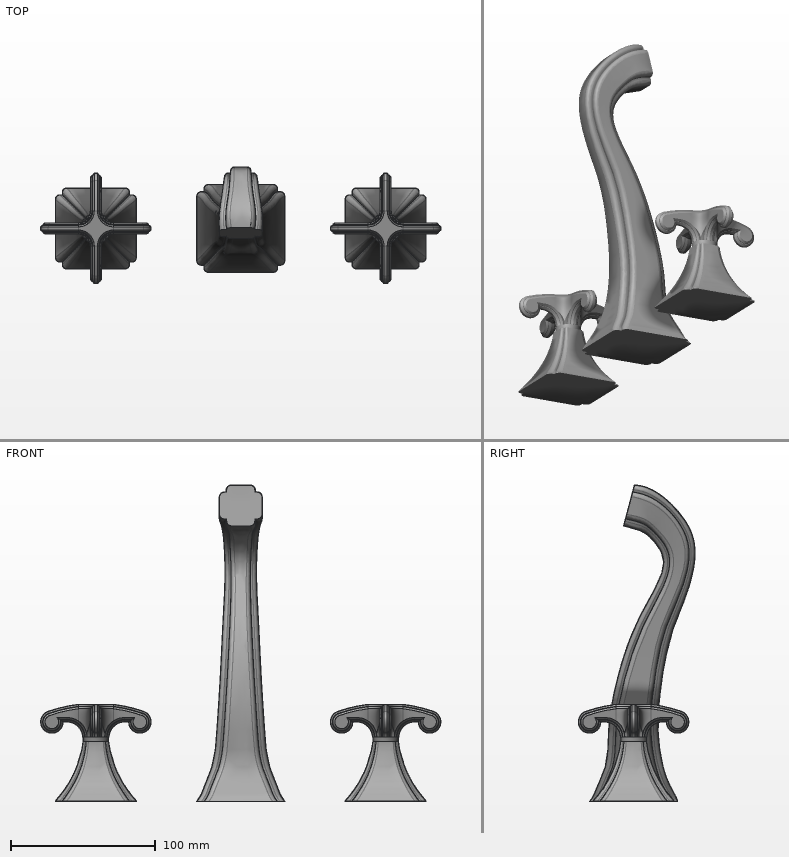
import cadquery as cq
import math

HANDLE_SPACING = 100.0

SPOUT_STATIONS = [
    ((30.5, 0.0), (-30.5, 0.0), 30.5, 5.0),
    ((26.5, 8.3), (-26.0, 8.3), 26.0, 5.0),
    ((22.6, 16.5), (-22.5, 16.5), 22.6, 5.0),
    ((18.5, 33.1), (-18.0, 33.1), 18.0, 5.0),
    ((16.8, 55.2), (-16.5, 57.0), 16.0, 5.0),
    ((19.3, 82.9), (-10.0, 89.5), 14.0, 5.0),
    ((26.2, 116.0), (2.8, 124.5), 12.5, 5.0),
    ((36.7, 143.5), (17.5, 152.5), 11.0, 4.5),
    ((42.3, 166.8), (20.7, 166.3), 11.0, 4.1),
    ((37.8, 190.0), (16.0, 177.3), 12.0, 4.5),
    ((21.8, 209.0), (8.0, 185.3), 13.8, 4.7),
    ((0.5, 218.5), (-7.0, 190.3), 14.5, 5.0),
]
ROUND_TO_NOTCH = 0.65

BASE_HALF_WIDTH = 28.0
BASE_LIP = 0.5
BASE_NOTCH = 4.7
FLARE_MIDDLE = (16.5, 16.5)
FOOT_HEIGHT = 10.5
FOOT_NOTCH = 4.0
NECK_HEIGHT = 41.5
NECK_HALF_WIDTH = 8.8
NECK_NOTCH = 2.2
FLARE_STEPS = 8

COLLAR_RADIUS = 8.8
COLLAR_TOP = 44.5
CROSS_TOP = 67.0
ARM_THICKNESS = 7.7
RIM_THICKNESS = 4.5
RIM_STEP = 1.7
BEVEL_DEPTH = 1.0
BEVEL_WIDTH = 1.5
HUB_REACH = 12.2
SCROLL_RADIUS = 7.7
SCROLL_X = 30.5
CROWN_RADIUS = 99.7
CROWN_Z = CROSS_TOP - math.sqrt(CROWN_RADIUS ** 2 - HUB_REACH ** 2)
SCROLL_Z = CROWN_Z + math.sqrt((CROWN_RADIUS - SCROLL_RADIUS) ** 2 - SCROLL_X ** 2)
ARCH_RADIUS = 10.8
ARCH_X = 20.0
ARCH_Z = SCROLL_Z - ARCH_RADIUS


def notched_section(plane, half_width, half_depth, notch):
    """Wire of a rectangle with a square notch in each corner and rounded outer corners."""
    radius = notch * ROUND_TO_NOTCH
    diagonal = radius * (1 - math.sqrt(0.5))
    inner_x = half_width - notch
    inner_y = half_depth - notch
    corner = [
        (half_width, inner_y - radius),
        (half_width - diagonal, inner_y - diagonal),
        (half_width - radius, inner_y),
        (inner_x, inner_y),
        (inner_x, half_depth - radius),
        (inner_x - diagonal, half_depth - diagonal),
        (inner_x - radius, half_depth),
    ]
    corners = []
    for sign_x, sign_y in ((1, 1), (-1, 1), (-1, -1), (1, -1)):
        points = [(sign_x * x, sign_y * y) for x, y in corner]
        corners.append(points if sign_x == sign_y else points[::-1])

    outline = cq.Workplane(plane).moveTo(*corners[0][0])
    for index, points in enumerate(corners):
        if index > 0:
            outline = outline.lineTo(*points[0])
        outline = outline.threePointArc(points[1], points[2]).lineTo(*points[3]).lineTo(*points[4])
        outline = outline.threePointArc(points[5], points[6])
    return outline.close().val()


def make_spout():
    sections = []
    for back, front, half_width, notch in SPOUT_STATIONS:
        middle_y = (back[0] + front[0]) / 2
        middle_z = (back[1] + front[1]) / 2
        across = cq.Vector(0, back[0] - front[0], back[1] - front[1])
        along = cq.Vector(1, 0, 0).cross(across)
        plane = cq.Plane(origin=(0, middle_y, middle_z), xDir=(1, 0, 0), normal=along.toTuple())
        sections.append(notched_section(plane, half_width, across.Length / 2, notch))
    return cq.Workplane(cq.occ_impl.shapes.loft(sections, cap=True, parametrization="chordal"))


def circle_through(first, second, third):
    """Centre and radius of the circle through three points."""
    (ax, ay), (bx, by), (cx, cy) = first, second, third
    twice_area = 2 * (ax * (by - cy) + bx * (cy - ay) + cx * (ay - by))
    a2 = ax ** 2 + ay ** 2
    b2 = bx ** 2 + by ** 2
    c2 = cx ** 2 + cy ** 2
    centre_x = (a2 * (by - cy) + b2 * (cy - ay) + c2 * (ay - by)) / twice_area
    centre_y = (a2 * (cx - bx) + b2 * (ax - cx) + c2 * (bx - ax)) / twice_area
    return centre_x, centre_y, math.hypot(ax - centre_x, ay - centre_y)


def flare_notch(height):
    """Notch size of the flared base at a height."""
    if height < FOOT_HEIGHT:
        share = (height - BASE_LIP) / (FOOT_HEIGHT - BASE_LIP)
        return BASE_NOTCH + share * (FOOT_NOTCH - BASE_NOTCH)
    share = (height - FOOT_HEIGHT) / (NECK_HEIGHT - FOOT_HEIGHT)
    return FOOT_NOTCH + share * (NECK_NOTCH - FOOT_NOTCH)


def make_handle_base():
    lip_outline = notched_section(cq.Plane.XY(), BASE_HALF_WIDTH, BASE_HALF_WIDTH, BASE_NOTCH)
    lip = cq.Workplane(cq.Solid.extrudeLinear(lip_outline, [], cq.Vector(0, 0, BASE_LIP)))

    centre_x, centre_z, radius = circle_through(
        (BASE_HALF_WIDTH, BASE_LIP), FLARE_MIDDLE, (NECK_HALF_WIDTH, NECK_HEIGHT)
    )
    sections = []
    for step in range(FLARE_STEPS + 1):
        height = BASE_LIP + step / FLARE_STEPS * (NECK_HEIGHT - BASE_LIP)
        half_width = centre_x - math.sqrt(radius ** 2 - (height - centre_z) ** 2)
        plane = cq.Plane(origin=(0, 0, height))
        sections.append(notched_section(plane, half_width, half_width, flare_notch(height)))
    return lip.union(cq.Workplane(cq.Solid.makeLoft(sections)))


def arm_outline(side_y, inset):
    """Side outline of two opposite arms in the plane Y = side_y, shrunk by the inset.

    It has a crowned top, round scrolls at the tips and an arch under each arm.
    """
    crown_radius = CROWN_RADIUS - inset
    scroll_radius = SCROLL_RADIUS - inset
    arch_radius = ARCH_RADIUS + inset
    arch_top = SCROLL_Z + inset

    crown_start = (HUB_REACH, CROWN_Z + math.sqrt(crown_radius ** 2 - HUB_REACH ** 2))
    tip_angle = math.atan2(SCROLL_X, SCROLL_Z - CROWN_Z)
    middle_angle = (math.atan2(HUB_REACH, crown_start[1] - CROWN_Z) + tip_angle) / 2

    def crown_point(angle):
        return (crown_radius * math.sin(angle), CROWN_Z + crown_radius * math.cos(angle))

    scroll_bottom = (SCROLL_X, SCROLL_Z - scroll_radius)
    scroll_end = (SCROLL_X - math.sqrt(scroll_radius ** 2 - inset ** 2), arch_top)
    arch_drop = COLLAR_TOP - ARCH_Z
    arch_end = (ARCH_X - math.sqrt(arch_radius ** 2 - arch_drop ** 2), COLLAR_TOP)
    arch_middle = (ARCH_X - arch_radius * math.sqrt(0.5), ARCH_Z + arch_radius * math.sqrt(0.5))

    def mirrored(point):
        return (-point[0], point[1])

    return (
        cq.Workplane("XZ", origin=(0, side_y, 0))
        .moveTo(*mirrored(crown_start))
        .lineTo(*crown_start)
        .threePointArc(crown_point(middle_angle), crown_point(tip_angle))
        .threePointArc(scroll_bottom, scroll_end)
        .lineTo(ARCH_X, arch_top)
        .threePointArc(arch_middle, arch_end)
        .lineTo(*mirrored(arch_end))
        .threePointArc(mirrored(arch_middle), (-ARCH_X, arch_top))
        .lineTo(*mirrored(scroll_end))
        .threePointArc(mirrored(scroll_bottom), crown_point(-tip_angle))
        .threePointArc(crown_point(-middle_angle), mirrored(crown_start))
        .close()
        .val()
    )


def bevelled_plate(thickness, inset):
    """Plate in the shape of two opposite arms, centred on Y = 0, bevelled along both sides."""
    side = thickness / 2
    core = side - BEVEL_DEPTH
    across = cq.Vector(0, -2 * core, 0)
    plate = cq.Workplane(cq.Solid.extrudeLinear(arm_outline(core, inset), [], across))
    for direction in (-1, 1):
        outlines = [
            arm_outline(direction * core, inset),
            arm_outline(direction * side, inset + BEVEL_WIDTH),
        ]
        plate = plate.union(cq.Workplane(cq.Solid.makeLoft(outlines, True)))
    return plate


def make_arm_pair():
    """Two opposite arms whose edge carries a raised rim along its middle."""
    return bevelled_plate(ARM_THICKNESS, RIM_STEP).union(bevelled_plate(RIM_THICKNESS, 0))


def hub_outline(height, side):
    """Four-armed outline at a height, with round inner corners; the side is half an arm's width."""
    middle = HUB_REACH - (HUB_REACH - side) * math.sqrt(0.5)
    outline = cq.Workplane("XY", origin=(0, 0, height)).moveTo(HUB_REACH, -side)
    for quarter in range(4):
        turn = round(math.cos(quarter * math.pi / 2)), round(math.sin(quarter * math.pi / 2))
        corner = [
            (x * turn[0] - y * turn[1], x * turn[1] + y * turn[0])
            for x, y in ((HUB_REACH, side), (middle, middle), (side, HUB_REACH))
        ]
        outline = outline.lineTo(*corner[0]).threePointArc(corner[1], corner[2])
    return outline.close().val()


def bevelled_hub(thickness, top):
    """Hub of crossing arms from the collar to a top height, bevelled along its top."""
    side = thickness / 2
    bevel_bottom = top - BEVEL_WIDTH
    rise = cq.Vector(0, 0, bevel_bottom - COLLAR_TOP)
    body = cq.Workplane(cq.Solid.extrudeLinear(hub_outline(COLLAR_TOP, side), [], rise))
    outlines = [hub_outline(bevel_bottom, side), hub_outline(top, side - BEVEL_DEPTH)]
    return body.union(cq.Workplane(cq.Solid.makeLoft(outlines, True)))


def make_hub():
    """Core that rounds the corners between the arms, with the arms' rim on top."""
    hub = bevelled_hub(ARM_THICKNESS, CROSS_TOP - RIM_STEP)
    hub = hub.union(bevelled_hub(RIM_THICKNESS, CROSS_TOP))
    arch = (
        cq.Workplane("XZ", origin=(ARCH_X, 0, ARCH_Z))
        .circle(ARCH_RADIUS + RIM_STEP + BEVEL_WIDTH)
        .extrude(HUB_REACH, both=True)
    )
    for quarter in range(4):
        hub = hub.cut(arch.rotate((0, 0, 0), (0, 0, 1), 90 * quarter))
    return hub


def make_handle():
    collar = (
        cq.Workplane("XY", origin=(0, 0, NECK_HEIGHT))
        .circle(COLLAR_RADIUS)
        .extrude(COLLAR_TOP - NECK_HEIGHT)
    )
    arms = make_arm_pair()
    handle = make_handle_base().union(collar).union(arms)
    handle = handle.union(arms.rotate((0, 0, 0), (0, 0, 1), 90))
    return handle.union(make_hub())


spout = make_spout()
handle = make_handle()
handles = [handle.translate((side * HANDLE_SPACING, 0, 0)).val() for side in (-1, 1)]

result = cq.Compound.makeCompound([spout.val(), *handles])